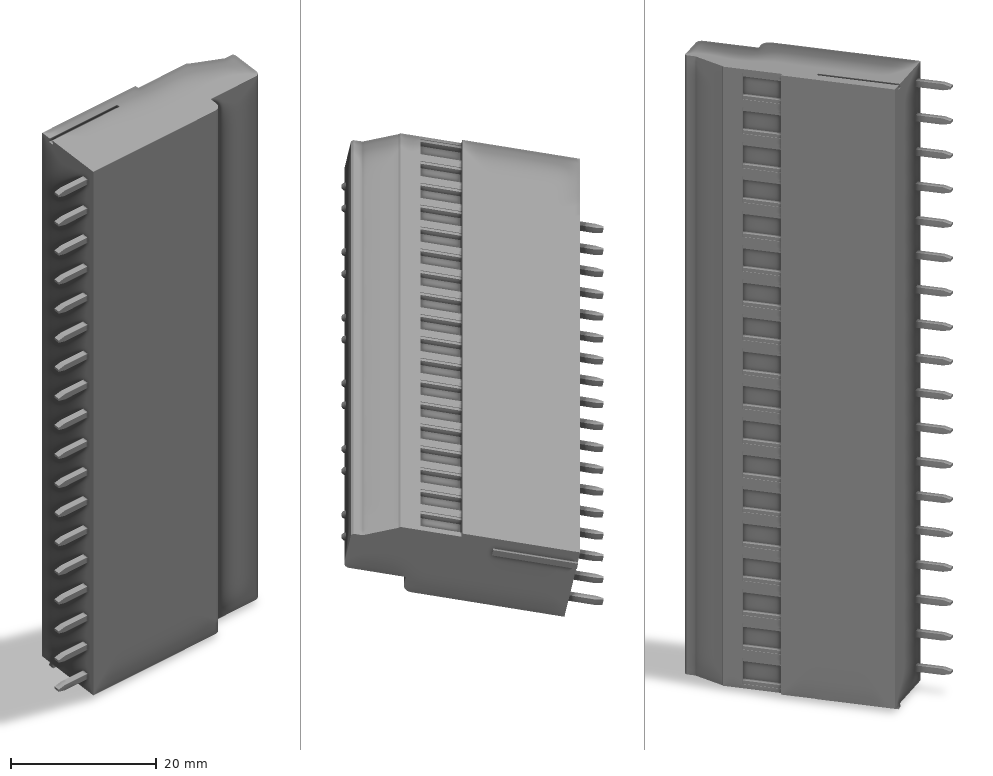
import cadquery as cq

pole_count = 18
housing_length = 91.4
pitch = housing_length / pole_count

base_thickness = 11.1
body_depth = 31.4
front_step_x = 0.55
front_step_y = 16.5
ledge_y = 25.0
slope_start_x = 0.7
slope_start_y = 25.2
slope_end_x = 2.9
slope_end_y = 29.8
back_step_x = 8.7
back_step_y = 22.6
shoulder_radius = 1.2
crown_radius = 0.8
crown_chamfer = 0.3

window_top_y = 22.2
window_height = 3.9
window_depth = 0.1
lever_height = 2.85
cavity_depth = 0.7
cavity_undercut = 0.7

pin_x = 9.4
pin_width = 0.9
pin_length = 5.1
pin_tip_length = 1.1
pin_tip_width = 0.4

rib_x = 1.9
rib_root_width = 0.55
rib_crest_width = 0.9
rib_height = 92 - housing_length
rib_length = 11.9

pip_x = 7.3
pip_radius = 0.55
pip_height = 0.55
poles_per_pip_group = 3


def make_housing():
    outline = (
        cq.Workplane("XY")
        .moveTo(0, 0)
        .lineTo(base_thickness, 0)
        .lineTo(base_thickness, back_step_y - shoulder_radius)
        .radiusArc((base_thickness - shoulder_radius, back_step_y), -shoulder_radius)
        .lineTo(back_step_x, back_step_y)
        .lineTo(back_step_x, body_depth - crown_radius)
        .radiusArc((back_step_x - crown_radius, body_depth), -crown_radius)
        .lineTo(slope_end_x + crown_chamfer, body_depth)
        .lineTo(slope_end_x, body_depth - crown_chamfer)
        .lineTo(slope_end_x, slope_end_y)
        .lineTo(slope_start_x, slope_start_y)
        .lineTo(front_step_x, ledge_y)
        .lineTo(front_step_x, front_step_y)
        .lineTo(0, front_step_y)
        .close()
    )
    return outline.extrude(housing_length)


def make_window(center_z):
    """Cutter for a shallow window whose middle is a deeper lever cavity reaching in behind the face above."""

    def recess(start_x, depth, top_y, height):
        size_y = top_y - front_step_y
        block = cq.Workplane("XY").box(depth, size_y, height, centered=(False, False, True))
        return block.translate((start_x, front_step_y, center_z))

    window = recess(front_step_x, window_depth, window_top_y, window_height)
    cavity_x = front_step_x + window_depth
    cavity = recess(cavity_x, cavity_depth, window_top_y + cavity_undercut, lever_height)
    return window.union(cavity)


def make_pin(center_z):
    taper_start = pin_tip_length - pin_length
    half_width = pin_width / 2
    half_tip = pin_tip_width / 2
    outline = [
        (0, -half_width),
        (taper_start, -half_width),
        (-pin_length, -half_tip),
        (-pin_length, half_tip),
        (taper_start, half_width),
        (0, half_width),
    ]
    pin = cq.Workplane("YZ").polyline(outline).close().extrude(pin_width / 2, both=True)
    return pin.translate((pin_x, 0, center_z))


def make_rib(base_z):
    """Dovetail bar hanging below base_z."""
    half_root = rib_root_width / 2
    half_crest = rib_crest_width / 2
    outline = [
        (rib_x - half_root, base_z),
        (rib_x + half_root, base_z),
        (rib_x + half_crest, base_z - rib_height),
        (rib_x - half_crest, base_z - rib_height),
    ]
    return cq.Workplane("XZ").polyline(outline).close().extrude(-rib_length)


def make_pip(center_z):
    """Spherical cap standing on the crown."""
    ball_radius = (pip_radius**2 + pip_height**2) / (2 * pip_height)
    ball_y = body_depth + pip_height - ball_radius
    return cq.Workplane("XY").sphere(ball_radius).translate((pip_x, ball_y, center_z))


result = make_housing()

for pole in range(pole_count):
    pole_z = (pole + 0.5) * pitch
    result = result.cut(make_window(pole_z)).union(make_pin(pole_z))

for boundary in range(1, pole_count):
    if boundary % poles_per_pip_group != 0:
        result = result.union(make_pip(boundary * pitch))

result = result.cut(make_rib(housing_length)).union(make_rib(0))